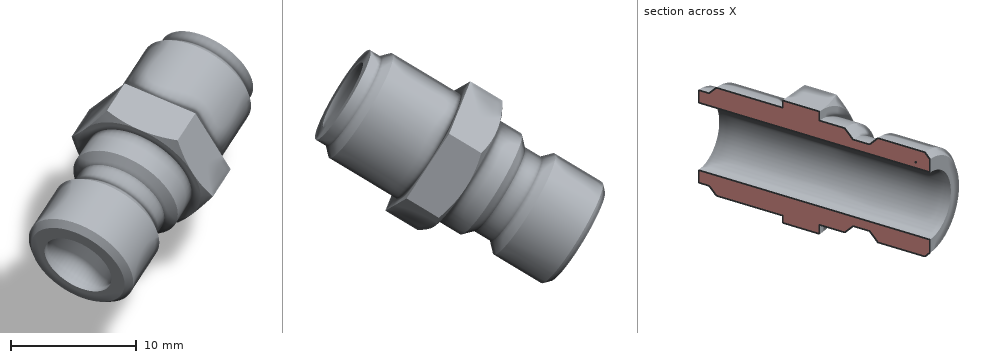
import cadquery as cq
import math

length = 22.0
across_flats = 11.0
bore_diameter = 6.0

nipple_radius = 9.4 / 2
groove_radius = 7.8 / 2
body_radius = 9.72 / 2
tip_radius = 8.34 / 2

nipple_chamfer = 0.5
groove_start = 4.97
groove_end = 8.12
groove_slope = nipple_radius - groove_radius
hex_start = 10.5
hex_end = 14.01
tip_length = 1.0
body_taper = body_radius - tip_radius

hex_chamfer_angle = math.radians(30)
across_corners = across_flats / math.cos(math.pi / 6)


def revolve_about_y(points):
    """Revolve a closed (radius, y) outline about the Y axis."""
    return cq.Workplane("XY").polyline(points).close().revolve(360, (0, 0, 0), (0, 1, 0))


def turned_body():
    tip_start = length - tip_length
    return revolve_about_y([
        (0, 0),
        (nipple_radius - nipple_chamfer, 0),
        (nipple_radius, nipple_chamfer),
        (nipple_radius, groove_start),
        (groove_radius, groove_start + groove_slope),
        (groove_radius, groove_end - groove_slope),
        (nipple_radius, groove_end),
        (nipple_radius, hex_start),
        (body_radius, hex_start),
        (body_radius, tip_start - body_taper),
        (tip_radius, tip_start),
        (tip_radius, length),
        (0, length),
    ])


def hex_collar():
    """Hexagon with corners on +X and -X, chamfered conically on the nipple side."""
    hexagon = (
        cq.Workplane("XZ", origin=(0, hex_end, 0))
        .polygon(6, across_corners)
        .extrude(hex_end - hex_start)
    )
    flat_radius = across_flats / 2
    corner_radius = across_corners / 2
    chamfer_depth = (corner_radius - flat_radius) * math.tan(hex_chamfer_angle)
    envelope = revolve_about_y([
        (0, hex_start),
        (flat_radius, hex_start),
        (corner_radius, hex_start + chamfer_depth),
        (corner_radius, hex_end),
        (0, hex_end),
    ])
    return hexagon.intersect(envelope)


bore = cq.Workplane("XZ").circle(bore_diameter / 2).extrude(-length)

result = turned_body().union(hex_collar()).cut(bore)